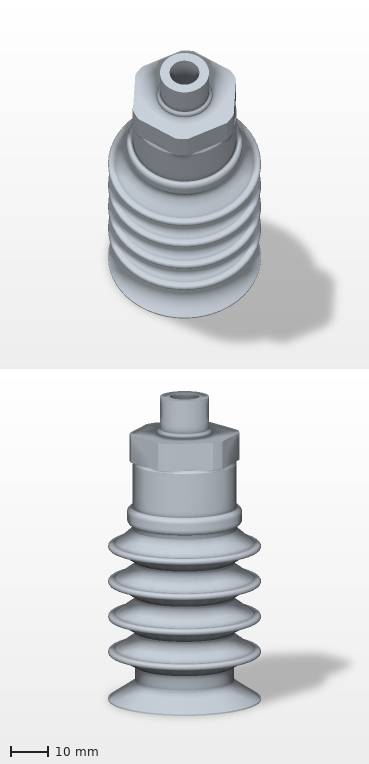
import cadquery as cq
import math

total_height = 83.1
bore_radius = 4.0

spigot_radius = 6.6
spigot_length = 10.0
hex_across_flats = 27.0
hex_corner_diameter = 29.5
hex_height = 7.5
hex_top = total_height - spigot_length
hex_bottom = hex_top - hex_height

seal_radius = 7.5
seal_round = seal_radius - spigot_radius
seal_straight_height = 0.25

sleeve_radius = 14.0
sleeve_bottom = 46.95
sleeve_chamfer_height = 0.75
sleeve_chamfer_width = 0.4
band_radius = 15.45
band_bottom = 48.1
band_height = 4.8
band_round = band_radius - sleeve_radius

cup_diameter = 41.0
cup_radius = cup_diameter / 2
fold_count = 4
fold_pitch = 9.6
top_fold_bottom = 41.2
rim_height = 1.7
rim_inner_radius = 18.7
neck_radius = 13.2
neck_fillet = 0.6
lower_cone_height = 3.2
upper_cone_height = 4.0

lip_height = 0.4
lip_cone_height = 4.8
foot_neck_top = 9.3


def make_fitting():
    """Hexagon with turned corners and a spigot, bored through."""
    corner_to_corner = hex_across_flats / math.cos(math.pi / 6)
    hexagon = (
        cq.Workplane("XY")
        .workplane(offset=hex_bottom)
        .polygon(6, corner_to_corner)
        .extrude(hex_height)
    )
    corner_limit = (
        cq.Workplane("XY")
        .workplane(offset=hex_bottom)
        .circle(hex_corner_diameter / 2)
        .extrude(hex_height)
    )
    spigot = cq.Workplane("XY").workplane(offset=hex_top).circle(spigot_radius).extrude(spigot_length)
    bore = (
        cq.Workplane("XY")
        .workplane(offset=hex_bottom)
        .circle(bore_radius)
        .extrude(hex_height + spigot_length)
    )
    return hexagon.intersect(corner_limit).union(spigot).cut(bore)


def make_seal_ring():
    """Quarter-round ring resting on the hexagon around the spigot."""
    straight_top = hex_top + seal_straight_height
    return (
        cq.Workplane("XZ")
        .moveTo(spigot_radius, hex_top)
        .lineTo(seal_radius, hex_top)
        .lineTo(seal_radius, straight_top)
        .radiusArc((spigot_radius, straight_top + seal_round), -seal_round)
        .close()
        .revolve(360, (0, 0, 0), (0, 1, 0))
    )


def add_neck_fillet(profile, cone_top, cone_bottom_radius, cone_bottom):
    """Draw a cone up towards the neck and the concave fillet that leads into the neck wall."""
    slope = math.atan2(cone_bottom_radius - neck_radius, cone_top - cone_bottom)
    tangent = neck_fillet * math.tan(slope / 2)
    fillet_start = (neck_radius + tangent * math.sin(slope), cone_top - tangent * math.cos(slope))
    fillet_end = (neck_radius, cone_top + tangent)
    return profile.lineTo(*fillet_start).radiusArc(fillet_end, neck_fillet)


def add_rim(profile, rim_bottom):
    """Draw one fold's rim upwards, with a fully rounded outer edge."""
    rim_top = rim_bottom + rim_height
    round_radius = rim_height / 2
    round_start = cup_radius - round_radius
    return (
        profile
        .lineTo(rim_inner_radius, rim_bottom)
        .lineTo(round_start, rim_bottom)
        .threePointArc((cup_radius, rim_bottom + round_radius), (round_start, rim_top))
        .lineTo(rim_inner_radius, rim_top)
    )


def add_band(profile):
    """Draw the band upwards, each outer edge rounded over to the sleeve wall."""
    band_top = band_bottom + band_height
    return (
        profile
        .lineTo(sleeve_radius, band_bottom)
        .radiusArc((band_radius, band_bottom + band_round), -band_round)
        .lineTo(band_radius, band_top - band_round)
        .radiusArc((sleeve_radius, band_top), -band_round)
    )


def make_suction_cup():
    """Cup lip, bellows folds and sleeve turned as one body."""
    profile = (
        cq.Workplane("XZ")
        .moveTo(bore_radius, 0)
        .lineTo(cup_radius, 0)
        .lineTo(cup_radius, lip_height)
    )
    profile = add_neck_fillet(profile, lip_height + lip_cone_height, cup_radius, lip_height)
    profile = profile.lineTo(neck_radius, foot_neck_top)

    for fold in reversed(range(fold_count)):
        rim_bottom = top_fold_bottom - fold * fold_pitch
        rim_top = rim_bottom + rim_height
        profile = add_rim(profile, rim_bottom)
        if fold > 0:
            profile = add_neck_fillet(profile, rim_top + upper_cone_height, rim_inner_radius, rim_top)
            profile = profile.lineTo(neck_radius, rim_bottom + fold_pitch - lower_cone_height)

    profile = add_band(profile.lineTo(sleeve_radius, sleeve_bottom))
    return (
        profile
        .lineTo(sleeve_radius, hex_bottom - sleeve_chamfer_height)
        .lineTo(sleeve_radius - sleeve_chamfer_width, hex_bottom)
        .lineTo(bore_radius, hex_bottom)
        .close()
        .revolve(360, (0, 0, 0), (0, 1, 0))
    )


seal_ring = make_seal_ring()
fitting = make_fitting()
suction_cup = make_suction_cup()

result = cq.Compound.makeCompound([suction_cup.val(), fitting.val(), seal_ring.val()])